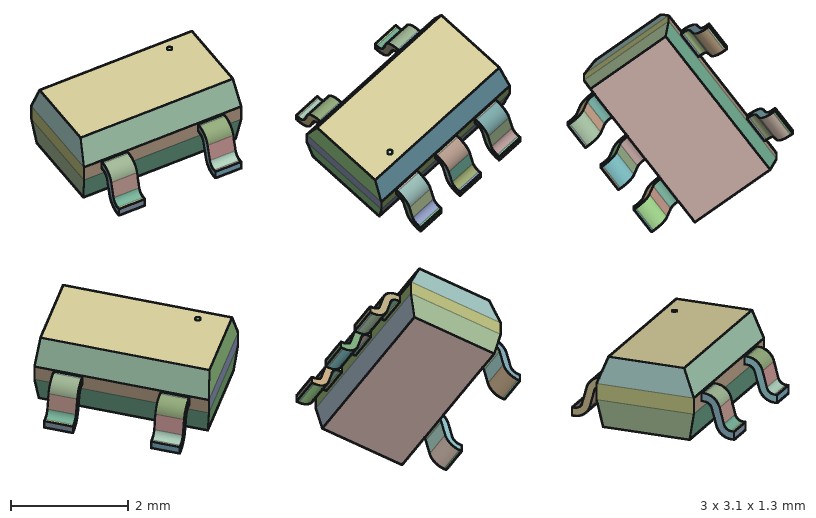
import cadquery as cq
import math

body_length = 3.1
body_width = 1.8
body_height = 1.3
end_length = body_length - 0.1
top_width = 1.4
bottom_width = 1.6
taper_height = 0.502
band_height = body_height - 2 * taper_height

lead_span = 3.0
lead_width = 0.508
lead_thickness = 0.15
lead_top = 0.77
lead_pitch = 0.95
foot_flat = 0.045
bend_angle = 75.0
bend_inner_radius = lead_thickness
bend_outer_radius = bend_inner_radius + lead_thickness
bend_middle_radius = (bend_inner_radius + bend_outer_radius) / 2

marker_diameter = 0.09
marker_depth = 0.05
marker_x = -0.505
marker_y = lead_pitch


def make_taper(base_z, base_size, end_size, height):
    """Loft from a rectangle at base_z to another one at base_z + height."""
    return (
        cq.Workplane("XY", origin=(0, 0, base_z))
        .rect(*base_size)
        .workplane(offset=height)
        .rect(*end_size)
        .loft(ruled=True)
    )


def make_body(marker):
    """Straight middle band with tapered top and bottom, recessed for the marker."""
    band_size = (body_width, body_length)
    bottom = make_taper(0, (bottom_width, end_length), band_size, taper_height)
    band = make_taper(taper_height, band_size, band_size, band_height)
    top = make_taper(taper_height + band_height, band_size, (top_width, end_length), taper_height)
    return bottom.union(band).union(top).cut(marker)


def make_marker():
    """Disc set flush into the top face."""
    return (
        cq.Workplane("XY", origin=(marker_x, marker_y, body_height - marker_depth))
        .circle(marker_diameter / 2)
        .extrude(marker_depth)
    )


def make_lead(center_y):
    """Gull-wing lead on the +X side, butting against the middle band."""
    face_x = body_width / 2
    tip_x = lead_span / 2

    angle = math.radians(bend_angle)
    slope_rise = lead_top - lead_thickness - 2 * bend_middle_radius * (1 - math.cos(angle))
    slope_run = slope_rise / math.tan(angle)
    bends_run = 2 * bend_middle_radius * math.sin(angle)
    shoulder_flat = tip_x - face_x - foot_flat - bends_run - slope_run

    shoulder_x = face_x + shoulder_flat
    shoulder_z = lead_top - bend_outer_radius
    foot_x = tip_x - foot_flat
    foot_z = bend_outer_radius

    def shoulder_point(radius, turn):
        return shoulder_x + radius * math.sin(turn), shoulder_z + radius * math.cos(turn)

    def foot_point(radius, turn):
        return foot_x - radius * math.sin(turn), foot_z - radius * math.cos(turn)

    half = angle / 2
    inner = bend_inner_radius
    outer = bend_outer_radius
    return (
        cq.Workplane("XZ", origin=(0, center_y + lead_width / 2, 0))
        .moveTo(face_x, lead_top)
        .lineTo(*shoulder_point(outer, 0))
        .threePointArc(shoulder_point(outer, half), shoulder_point(outer, angle))
        .lineTo(*foot_point(inner, angle))
        .threePointArc(foot_point(inner, half), foot_point(inner, 0))
        .lineTo(tip_x, lead_thickness)
        .lineTo(tip_x, 0)
        .lineTo(*foot_point(outer, 0))
        .threePointArc(foot_point(outer, half), foot_point(outer, angle))
        .lineTo(*shoulder_point(inner, angle))
        .threePointArc(shoulder_point(inner, half), shoulder_point(inner, 0))
        .lineTo(face_x, lead_top - lead_thickness)
        .close()
        .extrude(lead_width)
    )


marker = make_marker()
body = make_body(marker)

leads = []
for row in (-1, 0, 1):
    lead = make_lead(row * lead_pitch)
    leads.append(lead.mirror("YZ").val())
    if row != 0:
        leads.append(lead.val())

result = cq.Compound.makeCompound([body.solids().val(), marker.val(), *leads])